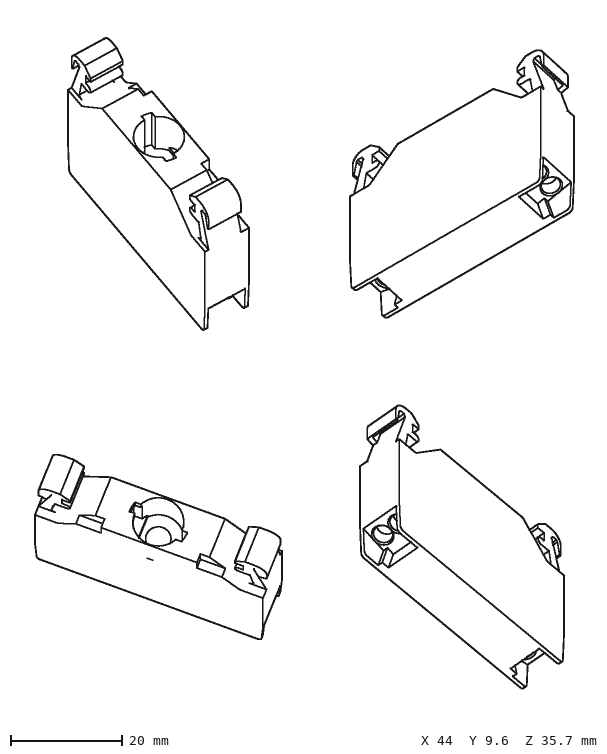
import cadquery as cq
import math


length = 44.0
depth = 9.6
body_top = 30.95
shoulder_z = 24.4
top_half_length = 11.0
shoulder_fillet = 0.9
draft_start_z = 8.15
draft_inset = 0.35
base_fillet = 0.9
wall = 0.8

notch_inner_x = 9.25
notch_outer_x = 14.1
notch_depth = 3.1
rear_strip = 1.75

total_height = 35.7
clip_radius = 2.55
clip_flat_end = 4.2
beak_reach = 6.1
beak_tip_z = 33.95
catch_top_z = 32.9
catch_bottom_z = 30.85
catch_back = 4.5
finger_radius = 0.9
stem_neck = 3.15
stem_fillet = 0.8
stem_foot = 2.5
stem_foot_z = 25.1
slot_stem_x = 2.45
slot_stem_z = 33.2
slot_top_z = 33.85
slot_top_stem_x = 2.15
slot_top_hook_x = 1.2
slot_hook_x = 0.92
slot_hook_z = 33.45
hook_tip_x = 0.35
hook_tip_z = 30.45
hook_outer_z = 30.55
hook_stem_x = 1.55
hook_stem_z = 30.05
web_thickness = 1.05

socket_y = 4.9
socket_radius = 4.58
socket_depth = 9.7
lug_radius = 5.6
lug_width = 2.0
lip_thickness = 1.75
seat_face_y = 8.75
seat_chamfer_height = 0.55
ledge_x = 3.3
ledge_height = 0.9
pocket_half_width = 2.25
rib_radius = 1.55
rib_height = 0.6
rib_length = 1.85
rib_drop = 4.5

plunger_radius = 2.3
plunger_length = 4.4

terminal_tilt = 15.0
terminal_mouth_z = 6.7
shelf_base_x = 17.95
inner_base_x = 16.3
wire_hole_diameter = 3.5
wire_hole_depth = 3.5
wire_sink_diameter = 4.1
wire_sink_depth = 0.4
wire_hole_inset = 3.05

half_length = length / 2
cut_margin = 0.45


def front_extrusion(profile, y_start, y_end):
    """Extrude an XZ profile wire from y_start back to y_end."""
    return profile.extrude(-(y_end - y_start)).translate((0, y_start, 0))


def box(x_range, y_range, z_range):
    size = [end - start for start, end in (x_range, y_range, z_range)]
    corner = (x_range[0], y_range[0], z_range[0])
    return cq.Workplane("XY").box(*size, centered=False).translate(corner)


def mirrored(shape):
    """The same shape at the +X end."""
    return shape.mirror("YZ")


def housing_block():
    slope_base_x = top_half_length + body_top - shoulder_z
    base_x = half_length - draft_inset
    right_side = [
        (base_x, 0),
        (half_length, draft_start_z),
        (half_length, shoulder_z),
        (slope_base_x, shoulder_z),
        (top_half_length, body_top),
    ]
    left_side = [(-x, z) for x, z in reversed(right_side)]
    block = front_extrusion(cq.Workplane("XZ").polyline(right_side + left_side).close(), 0, depth)
    for side in (-1, 1):
        base_edge = cq.selectors.NearestToPointSelector((side * base_x, depth / 2, 0))
        block = block.edges("|Y").edges(base_edge).fillet(base_fillet)
        slope_edge = cq.selectors.NearestToPointSelector((side * slope_base_x, depth / 2, shoulder_z))
        block = block.edges("|Y").edges(slope_edge).fillet(shoulder_fillet)
    return block


def corner_notch():
    return box(
        (-notch_outer_x, -notch_inner_x),
        (depth - rear_strip, depth + cut_margin),
        (body_top - notch_depth, body_top + cut_margin),
    )


def snap_clip():
    """Clip at the -X end; profile X values are measured inwards from the end face."""
    diagonal = clip_radius * math.sqrt(0.5)
    finger_bottom_z = catch_bottom_z - 2 * finger_radius
    finger_centre_x = beak_reach - finger_radius
    profile = (
        cq.Workplane("XZ")
        .moveTo(0, shoulder_z)
        .lineTo(slot_stem_x, slot_stem_z)
        .lineTo(slot_top_stem_x, slot_top_z)
        .lineTo(slot_top_hook_x, slot_top_z)
        .lineTo(slot_hook_x, slot_hook_z)
        .lineTo(hook_tip_x, hook_tip_z)
        .lineTo(0, hook_outer_z)
        .lineTo(0, total_height - clip_radius)
        .threePointArc(
            (clip_radius - diagonal, total_height - clip_radius + diagonal),
            (clip_radius, total_height),
        )
        .lineTo(clip_flat_end, total_height)
        .lineTo(beak_reach, beak_tip_z)
        .lineTo(beak_reach, catch_top_z)
        .lineTo(catch_back, catch_top_z)
        .lineTo(catch_back, catch_bottom_z)
        .lineTo(finger_centre_x, catch_bottom_z)
        .threePointArc(
            (beak_reach, catch_bottom_z - finger_radius),
            (finger_centre_x, finger_bottom_z),
        )
        .lineTo(stem_neck, finger_bottom_z)
        .lineTo(stem_foot, stem_foot_z)
        .radiusArc((stem_foot + stem_fillet, shoulder_z), -stem_fillet)
        .close()
    )
    web = (
        cq.Workplane("XZ")
        .moveTo(hook_tip_x, hook_tip_z)
        .lineTo(slot_hook_x, slot_hook_z)
        .lineTo(slot_top_hook_x, slot_top_z)
        .lineTo(slot_top_stem_x, slot_top_z)
        .lineTo(slot_stem_x, slot_stem_z)
        .lineTo(hook_stem_x, hook_stem_z)
        .close()
    )
    clip_rear_y = depth - rear_strip
    clip = front_extrusion(profile, wall, clip_rear_y)
    clip = clip.union(front_extrusion(web, clip_rear_y - web_thickness, clip_rear_y))
    return clip.translate((-half_length, 0, 0))


def socket_cut():
    """Round socket with two bayonet slots, a flat lower rear wall and a ledge on the +X side."""
    floor_z = body_top - socket_depth

    def disc(radius):
        return cq.Workplane("XY").circle(radius).extrude(socket_depth).translate((0, socket_y, floor_z))

    z_range = (floor_z, body_top)
    slots = box((-lug_radius, 0), (socket_y, socket_y + lug_width), z_range)
    slots = slots.union(box((0, lug_radius), (socket_y - lug_width, socket_y), z_range))
    cut = disc(socket_radius).union(disc(lug_radius).intersect(slots))
    rear_y = socket_y + socket_radius
    seat_top_z = floor_z + ledge_height + seat_chamfer_height
    seat = (
        cq.Workplane("YZ")
        .polyline([
            (seat_face_y, floor_z),
            (seat_face_y, seat_top_z - seat_chamfer_height),
            (rear_y, seat_top_z),
            (rear_y, floor_z),
        ])
        .close()
        .extrude(socket_radius, both=True)
    )
    ledge = box((ledge_x, lug_radius), (0, depth), (floor_z, floor_z + ledge_height))
    return cut.cut(seat).cut(ledge)


def side_pocket():
    """Pocket under the socket lip on the +X side, with a rounded rib left standing on its end wall."""
    rear_y = socket_y + pocket_half_width
    pocket = box(
        (ledge_x, lug_radius),
        (socket_y - pocket_half_width, rear_y),
        (body_top - socket_depth + ledge_height, body_top - lip_thickness),
    )
    rib = front_extrusion(
        cq.Workplane("XZ")
        .center(lug_radius - rib_height + rib_radius, body_top - rib_drop)
        .circle(rib_radius),
        rear_y - rib_length,
        rear_y,
    )
    return pocket.cut(rib)


def make_plunger():
    """Round pin set in the socket floor, its top flush with the floor."""
    floor_z = body_top - socket_depth
    return (
        cq.Workplane("XY")
        .circle(plunger_radius)
        .extrude(plunger_length)
        .translate((0, socket_y, floor_z - plunger_length))
    )


def terminal_recess(base_x, y_range):
    """Recess open to the -X end and the base, with a tilted roof square to its tilted inner face."""
    slope = math.tan(math.radians(terminal_tilt))
    run = (terminal_mouth_z - slope * (half_length - base_x)) / (1 + slope**2)
    profile = cq.Workplane("XZ").polyline([
        (-half_length - cut_margin, 0),
        (-half_length - cut_margin, terminal_mouth_z + slope * cut_margin),
        (-base_x + slope * run, run),
        (-base_x, 0),
    ])
    return front_extrusion(profile.close(), *y_range)


def wire_holes():
    """Two countersunk holes side by side, square to the recess roof."""
    tilt = math.radians(terminal_tilt)
    centre_x = -half_length + wire_hole_inset
    centre_z = terminal_mouth_z - math.tan(tilt) * wire_hole_inset
    direction = cq.Vector(math.sin(tilt), 0, math.cos(tilt))
    recess_width = depth - 2 * wall
    holes = cq.Workplane("XY")
    for offset in (-recess_width / 4, recess_width / 4):
        centre = cq.Vector(centre_x, depth / 2 + offset, centre_z)
        bore = cq.Solid.makeCylinder(wire_hole_diameter / 2, wire_hole_depth, centre, direction)
        sink = cq.Solid.makeCone(
            wire_sink_diameter / 2, wire_hole_diameter / 2, wire_sink_depth, centre, direction
        )
        holes = holes.add(bore).add(sink)
    return holes.combine()


def terminal_cut():
    shelf = terminal_recess(shelf_base_x, (wall, depth - wall))
    inner = terminal_recess(inner_base_x, (wall, depth - rear_strip))
    return shelf.union(inner).union(wire_holes())


def make_housing():
    body = housing_block()
    for end_cut in (corner_notch(), terminal_cut()):
        body = body.cut(end_cut).cut(mirrored(end_cut))
    clip = snap_clip()
    body = body.union(clip).union(mirrored(clip))
    return body.cut(socket_cut()).cut(side_pocket())


plunger = make_plunger()
housing = make_housing().cut(plunger)

result = cq.Compound.makeCompound([housing.val(), plunger.val()])